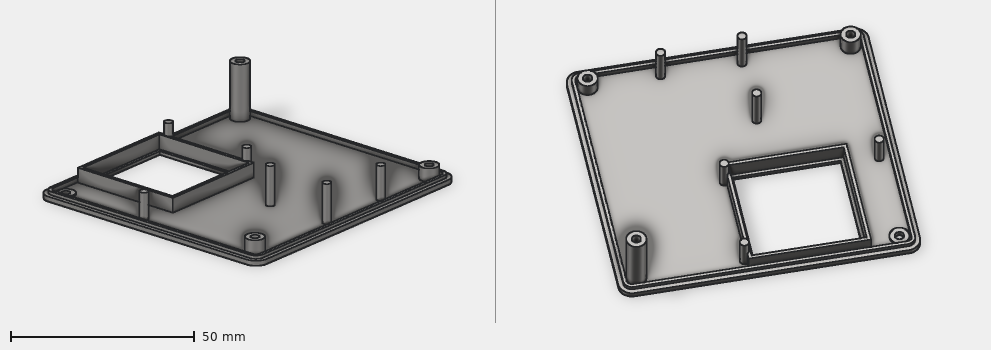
import cadquery as cq

length_x = 78.6
length_y = 83.7
corner_radius = 3.8
rim_height = 1.5
floor_height = 1.1
lip_top = 2.5
lip_inset = 1.3
lip_wall = 1.0

boss_diameter = 5.5
boss_hole_diameter = 2.5
boss_x = 33.8
boss_y = 36.5
tower_top = 17.9
front_right_boss_top = 6.2
rear_right_boss_top = 5.0
front_left_boss_top = 1.5

pin_diameter = 2.5
low_pin_top = 9.2
middle_pin_top = 11.3
high_pin_top = 12.9
low_pin_inner_x = -5.9
low_pin_rear_y = 6.5
high_pin_inner_x = 13.6
high_pin_y = -6.4
middle_pin_y = 16.25

frame_size = 34.0
frame_wall = 1.0
frame_top = 5.45
window_size = 30.0
window_x = -19.8
window_y = -11.05


def rounded_block(inset, bottom, top):
    """Plate outline moved inward by inset, between two heights."""
    block = cq.Workplane("XY", origin=(0, 0, bottom))
    block = block.rect(length_x - 2 * inset, length_y - 2 * inset).extrude(top - bottom)
    return block.edges("|Z").fillet(corner_radius - inset)


def post(x, y, diameter, top):
    """Round post standing on the underside plane, so it merges with the floor."""
    return cq.Workplane("XY").center(x, y).circle(diameter / 2).extrude(top)


def square_block(size, bottom, top):
    """Square block centred on the window."""
    block = cq.Workplane("XY", origin=(window_x, window_y, bottom))
    return block.rect(size, size).extrude(top - bottom)


tray = rounded_block(0, 0, rim_height)
tray = tray.union(rounded_block(lip_inset, 0, lip_top))
tray = tray.cut(rounded_block(lip_inset + lip_wall, floor_height, lip_top))

frame = square_block(frame_size, 0, frame_top)
part = tray.union(frame)

pins = [
    (-boss_x, low_pin_rear_y, low_pin_top),
    (low_pin_inner_x, low_pin_rear_y, low_pin_top),
    (low_pin_inner_x, -boss_y, low_pin_top),
    (high_pin_inner_x, high_pin_y, high_pin_top),
    (boss_x, high_pin_y, high_pin_top),
    (boss_x, middle_pin_y, middle_pin_top),
]
part = part.cut(square_block(frame_size - 2 * frame_wall, floor_height, frame_top))
part = part.cut(square_block(window_size, 0, floor_height))
for x, y, top in pins:
    part = part.union(post(x, y, pin_diameter, top))

bosses = [
    (-boss_x, boss_y, tower_top),
    (boss_x, boss_y, rear_right_boss_top),
    (boss_x, -boss_y, front_right_boss_top),
    (-boss_x, -boss_y, front_left_boss_top),
]
for x, y, top in bosses:
    part = part.union(post(x, y, boss_diameter, top))
    part = part.cut(post(x, y, boss_hole_diameter, top))

result = part